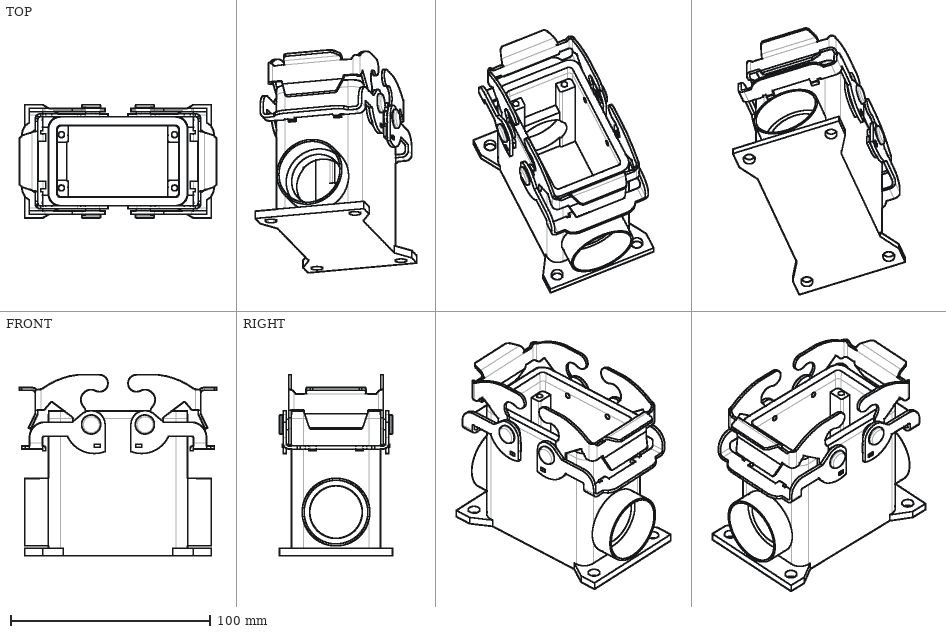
import cadquery as cq
import math


body_length = 70.0
body_width = 44.9
body_height = 72.8
body_corner_radius = 6.0
rim_base = 69.2
cavity_flare_base = 67.7
rim_draft_angle = 3.0
cavity_length = 61.0
cavity_width = 35.8
cavity_corner_radius = 2.0
floor_thickness = 4.0

post_length = 5.5
post_width = 8.3
post_top = 61.2
post_edge_radius = 1.0
post_hole_diameter = 3.0
post_hole_depth = 12.0
post_hole_x = 28.4
post_hole_y = 13.4

port_reach = 46.9
port_height = 22.0
port_outer_diameter = 34.0
port_counterbore_diameter = 32.0
port_bore_diameter = 26.3
port_ledge_x = 34.0
port_pad_top = port_height + port_outer_diameter / 2
left_pad_face = -25.8
right_pad_face = 25.0

foot_thickness = 3.9
foot_half_width = 28.5
foot_chamfer_start = 37.8
foot_chamfer_end = 27.6
foot_hole_diameter = 5.8
foot_hole_x = 40.7
foot_hole_y = 22.0

pin_x = -13.5
pin_z = 66.0
pin_head_diameter = 9.6
pin_head_thickness = 1.55
pin_head_rounding = 0.8
shank_height = 5.5
shank_length = 7.2
pin_tip_diameter = 2.6
pin_tip_recess = 0.2

hook_thickness = 1.4
hook_inner_y = body_width / 2
hook_outer_y = hook_inner_y + hook_thickness
hook_end_x = -41.6
hook_bend_radius = 2.7
hook_bend_x = hook_end_x + hook_bend_radius
hook_top = 91.0
hook_bottom_edge = 73.2
hook_tip_radius = 4.3
hook_tip_center = (-9.3, hook_top - hook_tip_radius)
hook_mouth_radius = 5.1
hook_mouth_center = (pin_x, 78.4)
hook_mouth_end_angle = 218
hook_corner_top = 83.8
hook_arch_start = (-37.9, 84.1)
hook_arch_middle = (-29.7, 88.65)
hook_arch_end = (-20.4, hook_top)
hook_foot_end = (-37.6, hook_bottom_edge)
hook_foot_middle = (-36.8, 73.5)
hook_foot_rise = (-36.2, 74.3)
hook_notch = (-33.4, 77.5)
hook_neck_left = -22.7
hook_neck_right = -16.4
hook_neck_shoulder = 69.5
hook_neck_end = 73.8
hook_hub_radius = 4.4
hook_tail_radius = 8.4
hook_tail_center = (hook_neck_left + hook_tail_radius, 64.0)
hook_tail_x = -8.4
hook_tail_top = 60.8

cross_plate_dip = (20.1, 81.3)
cross_plate_rise = (21.5, 83.0)
cross_plate_shoulder = (22.4, 83.5)
cross_plate_corner = (hook_outer_y, 83.6)

handle_top = 84.6
overall_length = 98.97
handle_tip_x = -overall_length / 2
handle_bend_radius = 3.1
handle_tip_half_width = 11.7
handle_half_width = 14.6
handle_root_half_width = 15.6
handle_corner_chamfer = 1.2
flap_top = 71.4
flap_tip_x = -45.0
flap_tip_z = 64.3
flap_top_half_width = 15.8
flap_tip_half_width = 13.4
flap_root_flare = 0.5
flap_corner_chamfer = 0.7

lever_thickness = 1.65
lever_inner_y = 24.95
lever_outer_y = lever_inner_y + lever_thickness
lever_left = -44.5
lever_arm_inner = -37.9
lever_arm_top = 67.2
lever_arm_bottom = 60.0
lever_elbow_radius = 7.7
lever_elbow_inner_radius = 0.8
lever_head_radius = 7.0
lever_head_shoulder = -23.0
lever_skirt_radius = 15.0
lever_skirt_center = (-11.8, 66.4)
lever_bend_radius = 3.2
strap_bottom = 53.6
strap_tip_x = -48.4
strap_tip_half_width = 13.2
strap_shoulder_half_width = 19.5
strap_side_corners = [(17.9, -46.7), (15.4, -48.0)]
strap_relief_x = -40.0
strap_notch_depth = 0.8
strap_notch_width = 1.6
tab_outer_y = 13.8
tab_inner_y = 10.0
tab_length = 1.7
tab_drop = 0.8
tab_bend_radius = 1.5
lug_x = -10.35
lug_z = 55.25
lug_length = 3.0
lug_height = 1.6
lug_rise = 0.3


def box_between(x0, x1, y0, y1, z0, z1):
    return cq.Workplane("XY").box(x1 - x0, y1 - y0, z1 - z0, centered=False).translate((x0, y0, z0))


def circle_point(center, radius, degrees):
    angle = math.radians(degrees)
    return (center[0] + radius * math.cos(angle), center[1] + radius * math.sin(angle))


def both_sides(shape):
    return shape.union(shape.mirror("XZ"))


def both_ends(shape):
    return shape.union(shape.mirror("YZ"))


def side_plate(outline, inner_y, outer_y):
    """Extrude an XZ outline into a plate on the -Y side."""
    return outline.extrude(outer_y - inner_y).translate((0, -inner_y, 0))


def mirrored_polygon(plane, half_outline):
    """Closed outline from a half outline whose first coordinate is mirrored."""
    other_half = [(-a, b) for a, b in reversed(half_outline)]
    return cq.Workplane(plane).polyline(half_outline + other_half).close()


def make_foot():
    half_outline = [
        (foot_chamfer_end, body_width / 2),
        (foot_chamfer_start, foot_half_width),
        (port_reach, foot_half_width),
        (port_reach, -foot_half_width),
        (foot_chamfer_start, -foot_half_width),
        (foot_chamfer_end, -body_width / 2),
    ]
    foot = mirrored_polygon("XY", half_outline).extrude(foot_thickness)
    hole_spots = [(sx * foot_hole_x, sy * foot_hole_y) for sx in (-1, 1) for sy in (-1, 1)]
    holes = cq.Workplane("XY").pushPoints(hole_spots).circle(foot_hole_diameter / 2).extrude(foot_thickness)
    return foot.cut(holes)


def make_post():
    """Corner post at -X, -Y with a blind screw hole."""
    x0 = -cavity_length / 2
    y0 = -cavity_width / 2
    post = box_between(x0, x0 + post_length, y0, y0 + post_width, 0, post_top)
    post = post.edges("|Z and >X and >Y").fillet(post_edge_radius)
    hole = cq.Workplane("XY").center(-post_hole_x, -post_hole_y).circle(post_hole_diameter / 2)
    return post.cut(hole.extrude(post_hole_depth).translate((0, 0, post_top - post_hole_depth)))


def x_cylinder(diameter, half_length):
    disc = cq.Workplane("YZ").center(0, port_height).circle(diameter / 2)
    return disc.extrude(half_length, both=True)


def make_housing():
    body_outline = cq.Sketch().rect(body_length, body_width).vertices().fillet(body_corner_radius)
    body = cq.Workplane("XY").placeSketch(body_outline).extrude(rim_base)
    rim = cq.Workplane("XY").workplane(offset=rim_base).placeSketch(body_outline)
    body = body.union(rim.extrude(body_height - rim_base, taper=rim_draft_angle))
    body = body.union(x_cylinder(port_outer_diameter, port_reach))
    cavity_outline = cq.Sketch().rect(cavity_length, cavity_width).vertices().fillet(cavity_corner_radius)
    cavity = cq.Workplane("XY").workplane(offset=floor_thickness).placeSketch(cavity_outline)
    cavity = cavity.extrude(cavity_flare_base - floor_thickness)
    flare = cq.Workplane("XY").workplane(offset=cavity_flare_base).placeSketch(cavity_outline)
    cavity = cavity.union(flare.extrude(body_height - cavity_flare_base, taper=-rim_draft_angle))
    inside_x = cavity_length / 2
    inside_y = cavity_width / 2
    left_pad = box_between(-inside_x, left_pad_face, -inside_y, inside_y, 0, port_pad_top)
    right_pad = box_between(right_pad_face, inside_x, -inside_y, inside_y, 0, port_pad_top)
    posts = both_sides(both_ends(make_post()))
    body = body.cut(cavity.cut(left_pad).cut(right_pad).cut(posts))

    counterbores = x_cylinder(port_counterbore_diameter, port_reach).cut(
        x_cylinder(port_counterbore_diameter, port_ledge_x)
    )
    body = body.cut(counterbores).cut(x_cylinder(port_bore_diameter, port_reach))

    tip_mark = cq.Workplane("XZ").center(pin_x, pin_z).circle(pin_tip_diameter / 2)
    tip_marks = both_sides(both_ends(side_plate(tip_mark, inside_y, inside_y + pin_tip_recess)))
    return body.union(make_foot()).cut(tip_marks)


def make_pin():
    """Slotted shank through both lever plates with a round head outside."""
    head_base = foot_half_width - pin_head_thickness
    shank_center = pin_x - shank_height / 2 + shank_length / 2
    shank = side_plate(
        cq.Workplane("XZ").center(shank_center, pin_z).slot2D(shank_length, shank_height),
        hook_inner_y,
        head_base,
    )
    head = side_plate(
        cq.Workplane("XZ").center(pin_x, pin_z).circle(pin_head_diameter / 2), head_base, foot_half_width
    )
    return shank.union(head.faces("<Y").edges().fillet(pin_head_rounding))


def make_hook_arm():
    tip_to_mouth = math.degrees(
        math.atan2(
            hook_mouth_center[1] - hook_tip_center[1],
            hook_mouth_center[0] - hook_tip_center[0],
        )
    )
    tangent_point = circle_point(hook_tip_center, hook_tip_radius, tip_to_mouth)
    hub_center = (pin_x, pin_z)
    hub_start_z = pin_z + math.sqrt(hook_hub_radius**2 - (hook_neck_right - pin_x) ** 2)
    tail_bottom = hook_tail_center[1] - hook_tail_radius
    outline = (
        cq.Workplane("XZ")
        .moveTo(hook_bend_x, hook_bottom_edge)
        .lineTo(hook_bend_x, hook_corner_top)
        .lineTo(*hook_arch_start)
        .threePointArc(hook_arch_middle, hook_arch_end)
        .lineTo(hook_tip_center[0], hook_top)
        .threePointArc(circle_point(hook_tip_center, hook_tip_radius, 0), tangent_point)
        .threePointArc(
            circle_point(hook_mouth_center, hook_mouth_radius, 150),
            circle_point(hook_mouth_center, hook_mouth_radius, hook_mouth_end_angle),
        )
        .lineTo(hook_neck_right, hook_neck_end)
        .lineTo(hook_neck_right, hub_start_z)
        .threePointArc(
            circle_point(hub_center, hook_hub_radius, 30), circle_point(hub_center, hook_hub_radius, -45)
        )
        .lineTo(hook_tail_x, hook_tail_top)
        .lineTo(hook_tail_x, tail_bottom)
        .lineTo(hook_tail_center[0], tail_bottom)
        .threePointArc(
            circle_point(hook_tail_center, hook_tail_radius, 225), (hook_neck_left, hook_tail_center[1])
        )
        .lineTo(hook_neck_left, hook_neck_shoulder)
        .lineTo(*hook_notch)
        .lineTo(*hook_foot_rise)
        .threePointArc(hook_foot_middle, hook_foot_end)
        .close()
    )
    return side_plate(outline, hook_inner_y, hook_outer_y)


def make_hook_end():
    """Cross plate joining the two hook arms, with rounded corners and a shaped edge."""
    strap_outer = box_between(hook_end_x, 0, -hook_outer_y, hook_outer_y, flap_top, hook_top)
    strap_outer = strap_outer.edges("|Z and <X").fillet(hook_bend_radius)
    strap_inner = box_between(
        hook_end_x + hook_thickness, 0, -hook_inner_y, hook_inner_y, flap_top, hook_top
    )
    strap_inner = strap_inner.edges("|Z and <X").fillet(hook_bend_radius - hook_thickness)
    strap = strap_outer.cut(strap_inner)
    handle_root = handle_top - handle_bend_radius
    half_outline = [
        (handle_half_width, handle_root),
        cross_plate_dip,
        cross_plate_rise,
        cross_plate_shoulder,
        cross_plate_corner,
        (hook_outer_y, hook_bottom_edge),
        (flap_top_half_width + flap_root_flare, hook_bottom_edge),
        (flap_top_half_width, flap_top),
    ]
    mask = mirrored_polygon("YZ", half_outline).extrude(hook_bend_x - hook_end_x)
    return strap.intersect(mask.translate((hook_end_x, 0, 0)))


def make_handle():
    """Finger tab bent outwards from the top of the cross plate."""
    bend_x = hook_end_x + hook_thickness - handle_bend_radius
    bend_z = handle_top - handle_bend_radius
    inside_radius = handle_bend_radius - hook_thickness
    center = (bend_x, bend_z)
    section = (
        cq.Workplane("XZ")
        .moveTo(bend_x + handle_bend_radius, bend_z)
        .threePointArc(circle_point(center, handle_bend_radius, 45), (bend_x, handle_top))
        .lineTo(handle_tip_x, handle_top)
        .lineTo(handle_tip_x, handle_top - hook_thickness)
        .lineTo(bend_x, handle_top - hook_thickness)
        .threePointArc(circle_point(center, inside_radius, 45), (bend_x + inside_radius, bend_z))
        .close()
        .extrude(handle_root_half_width, both=True)
    )
    half_outline = [
        (handle_tip_half_width, handle_tip_x),
        (handle_tip_half_width + handle_corner_chamfer, handle_tip_x + handle_corner_chamfer),
        (handle_half_width, bend_x),
        (handle_root_half_width, hook_bend_x),
    ]
    plan = mirrored_polygon("YX", half_outline).extrude(-hook_top)
    return section.intersect(plan)


def make_flap():
    """Trapezoidal deflector sloping outwards below the cross plate."""
    slope = math.atan2(hook_end_x - flap_tip_x, flap_top - flap_tip_z)
    across = hook_thickness * math.cos(slope)
    drop = hook_thickness * math.sin(slope)
    section = (
        cq.Workplane("XZ")
        .moveTo(hook_end_x, flap_top)
        .lineTo(flap_tip_x, flap_tip_z)
        .lineTo(flap_tip_x + across, flap_tip_z - drop)
        .lineTo(hook_end_x + hook_thickness, flap_top)
        .close()
        .extrude(flap_top_half_width, both=True)
    )
    half_outline = [
        (flap_tip_half_width - flap_corner_chamfer, flap_tip_z - drop),
        (flap_tip_half_width, flap_tip_z + flap_corner_chamfer - drop),
        (flap_top_half_width, flap_top),
    ]
    mask = mirrored_polygon("YZ", half_outline).extrude(port_reach, both=True)
    return section.intersect(mask)


def make_hook():
    return both_sides(make_hook_arm()).union(make_hook_end()).union(make_handle()).union(make_flap())


def make_lever_arm():
    pin_center = (pin_x, pin_z)
    head_right = pin_x + lever_head_radius
    skirt_x, skirt_z = lever_skirt_center
    skirt_right_z = skirt_z - math.sqrt(lever_skirt_radius**2 - (head_right - skirt_x) ** 2)
    skirt_left_x = skirt_x - math.sqrt(lever_skirt_radius**2 - (lever_arm_bottom - skirt_z) ** 2)
    elbow_center = (lever_left + lever_elbow_radius, lever_arm_top - lever_elbow_radius)
    inner_radius = lever_elbow_inner_radius
    inner_center = (lever_arm_inner + inner_radius, lever_arm_bottom - inner_radius)
    bend_top = strap_bottom + lever_bend_radius
    outline = (
        cq.Workplane("XZ")
        .moveTo(lever_left, bend_top)
        .lineTo(lever_left, elbow_center[1])
        .threePointArc(
            circle_point(elbow_center, lever_elbow_radius, 135), (elbow_center[0], lever_arm_top)
        )
        .lineTo(lever_head_shoulder, lever_arm_top)
        .lineTo(*circle_point(pin_center, lever_head_radius, 133))
        .threePointArc(circle_point(pin_center, lever_head_radius, 60), (head_right, pin_z))
        .lineTo(head_right, skirt_right_z)
        .threePointArc(
            circle_point(lever_skirt_center, lever_skirt_radius, 240), (skirt_left_x, lever_arm_bottom)
        )
        .lineTo(inner_center[0], lever_arm_bottom)
        .threePointArc(
            circle_point(inner_center, inner_radius, 135), (lever_arm_inner, inner_center[1])
        )
        .lineTo(lever_arm_inner, bend_top)
        .close()
    )
    arm = side_plate(outline, lever_inner_y, lever_outer_y)
    lug = cq.Workplane("XZ").center(lug_x, lug_z).rect(lug_length, lug_height)
    return arm.union(side_plate(lug, lever_inner_y, lever_outer_y + lug_rise))


def make_lever_strap():
    """Flat cross strap under the levers, bent up at both sides into the arms."""
    side_top = lever_arm_bottom - 2 * lever_elbow_inner_radius
    strap_top = strap_bottom + lever_thickness
    trough = box_between(
        lever_left, lever_arm_inner, -lever_outer_y, lever_outer_y, strap_bottom, side_top
    )
    trough = trough.edges("|X and <Z").fillet(lever_bend_radius)
    hollow = box_between(
        lever_left, lever_arm_inner, -lever_inner_y, lever_inner_y, strap_top, side_top
    )
    hollow = hollow.edges("|X and <Z").fillet(lever_bend_radius - lever_thickness)
    trough = trough.cut(hollow)

    flat_end = lever_outer_y - lever_bend_radius
    half_outline = [
        (flat_end, lever_arm_inner),
        (flat_end, lever_left),
        (strap_shoulder_half_width, lever_left),
        *strap_side_corners,
        (strap_tip_half_width, strap_tip_x),
    ]
    flat = mirrored_polygon("YX", half_outline).extrude(-lever_thickness)
    flat = flat.translate((0, 0, strap_bottom))
    relief = box_between(
        strap_relief_x, lever_arm_inner, -tab_inner_y, tab_inner_y, strap_bottom, strap_top
    )
    strap = trough.union(flat).cut(relief)

    notch = box_between(
        lever_arm_inner - strap_notch_depth,
        lever_arm_inner,
        tab_outer_y,
        tab_outer_y + strap_notch_width,
        strap_bottom,
        strap_top,
    )
    tab = box_between(
        lever_arm_inner,
        lever_arm_inner + tab_length,
        tab_inner_y,
        tab_outer_y,
        strap_bottom - tab_drop,
        strap_top,
    )
    tab = tab.edges("|Y and >X and >Z").fillet(tab_bend_radius)
    return strap.cut(both_sides(notch)).union(both_sides(tab))


def make_lever():
    return both_sides(make_lever_arm().union(make_pin())).union(make_lever_strap())


result = make_housing().union(both_ends(make_hook().union(make_lever())))